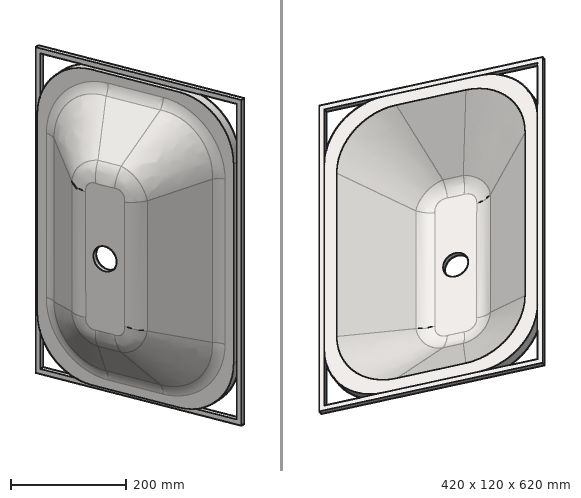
import cadquery as cq

FRAME_HEIGHT = 620.0
FRAME_WIDTH = 420.0
BAR = 10.0

RIM_WIDTH = FRAME_WIDTH - 2 * BAR
RIM_HEIGHT = FRAME_HEIGHT - 2 * BAR
RIM_CORNER = 110.5
RIM_FRONT = 2 * BAR
WALL = 10.0
TOTAL_DEPTH = 120.0

RIM_LEDGE = 30.0
SLOPE_RUN = 109.0
SLOPE = SLOPE_RUN / (TOTAL_DEPTH - RIM_FRONT)
MOUTH_CORNER = 111.5
FLOOR_CORNER = 43.5
MOUTH_FILLET = 31.0
FLOOR_FILLET = 56.0
SIDE_WALL = 15.0
CAVITY_LEDGE = RIM_LEDGE + SIDE_WALL - SLOPE * RIM_FRONT
EDGE_MARGIN = 6.0
SELECTION_BAND = 0.5

DRAIN_DIAMETER = 47.0


def plane_at(depth):
    """XZ plane at the given distance in front of the frame's back face."""
    return cq.Workplane("XZ", origin=(0, -depth, 0))


def rounded_outline(width, height, corner):
    return cq.Sketch().rect(width, height).vertices().fillet(corner)


def make_frame():
    outer = plane_at(0).rect(FRAME_WIDTH, FRAME_HEIGHT).extrude(BAR)
    opening = plane_at(0).rect(RIM_WIDTH, RIM_HEIGHT).extrude(BAR)
    return outer.cut(opening)


def make_bowl_form(mouth_depth, floor_depth, mouth_inset):
    """Solid tapering from the rounded mouth to the smaller rounded floor."""
    drop = floor_depth - mouth_depth
    floor_inset = mouth_inset + SLOPE * drop
    mouth = rounded_outline(
        RIM_WIDTH - 2 * mouth_inset, RIM_HEIGHT - 2 * mouth_inset, MOUTH_CORNER
    )
    floor = rounded_outline(
        RIM_WIDTH - 2 * floor_inset, RIM_HEIGHT - 2 * floor_inset, FLOOR_CORNER
    )
    raised_floor = floor.moved(cq.Location((0, 0, drop)))
    return plane_at(mouth_depth).placeSketch(mouth, raised_floor).loft(ruled=True)


def mouth_edges():
    """Selector for the edges where the bowl leaves the rim's front face."""
    half_width = RIM_WIDTH / 2 - EDGE_MARGIN
    half_height = RIM_HEIGHT / 2 - EDGE_MARGIN
    return cq.selectors.BoxSelector(
        (-half_width, -RIM_FRONT - SELECTION_BAND, -half_height),
        (half_width, -RIM_FRONT + SELECTION_BAND, half_height),
        boundingbox=True,
    )


def make_outside():
    rim_outline = rounded_outline(RIM_WIDTH, RIM_HEIGHT, RIM_CORNER)
    rim = plane_at(0).placeSketch(rim_outline).extrude(RIM_FRONT)
    outside = rim.union(make_bowl_form(RIM_FRONT, TOTAL_DEPTH, RIM_LEDGE))
    outside = outside.faces("<Y").edges().fillet(FLOOR_FILLET)
    return outside.edges(mouth_edges()).fillet(MOUTH_FILLET)


def make_cavity():
    cavity = make_bowl_form(0, TOTAL_DEPTH - WALL, CAVITY_LEDGE)
    return cavity.faces("<Y").edges().fillet(FLOOR_FILLET - WALL)


def make_basin():
    drain = plane_at(0).circle(DRAIN_DIAMETER / 2).extrude(TOTAL_DEPTH)
    return make_outside().cut(make_cavity()).cut(drain)


frame = make_frame()
basin = make_basin()
result = cq.Compound.makeCompound([frame.val(), basin.solids().val()])